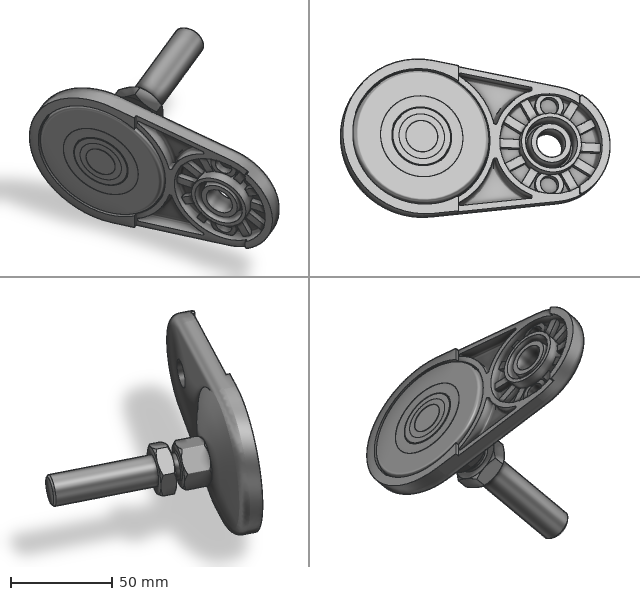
import cadquery as cq
import math


FOOT_RADIUS = 39.5
LUG_RADIUS = 29.5
LUG_X = 65.0
PLATE_TOP = 11.4
PLATE_FILLET = 5.0

DOME_SPHERE_RADIUS = 93.0
DOME_TOP = 17.7
DOME_BASE = PLATE_TOP - PLATE_FILLET
DOME_TOP_RADIUS = 12.2
DOME_FILLET = 5.0
RIM_MARGIN = 0.1

RAISED_UNDERSIDE = 1.9
STEP_FOOT_X = 18.4
STEP_LUG_X = 79.4
STEP_LUG_BEVEL_Z = 24.6
STEP_BEVEL_X = 87.2

WEB_FLOOR = 8.0
POCKET_FOOT_RADIUS = 37.6
POCKET_LUG_RADIUS = 28.4
POCKET_EDGE_WALL = 3.0
POCKET_CORNER = 0.9
FLOOR_FILLET = 1.8

RECESS_RADIUS = 25.5
HUB_RADIUS = 15.0
HUB_BOTTOM = -0.25
HUB_HOLE_RADIUS = 7.2
TUBE_BOTTOM = 0.5
TUBE_TIP_RADIUS = 9.9
TUBE_ROOT_RADIUS = 11.0
GROOVE_ROOT_RADIUS = 12.0
GROOVE_MOUTH_RADIUS = 13.0
RIB_WIDTH = 4.4
RIB_BOTTOM = 5.0
RIB_ANGLES = [side + step for side in (0, 180) for step in (-60, -30, 0, 30, 60)]
SCREW_BOSS_RADIUS = 7.0
SCREW_BOSS_BOTTOM = 5.0
SCREW_HOLE_RADIUS = 4.5
SCREW_HOLE_END = 9.0
SCREW_OFFSET = 20.0
SINK = 1.0

CAVITY_RADIUS = 34.6
CAVITY_ROOF = 5.0
PAD_RADIUS = 34.0
PAD_BOTTOM = -0.25
PAD_EDGE_FILLET = 2.0
WASHER_RADIUS = 20.65
WASHER_HOLE_RADIUS = 15.0
WASHER_BOTTOM = -0.1
RETAINER_RADIUS = 14.5
COLLAR_RADIUS = 11.4

STUD_RADIUS = 8.0
STUD_BOTTOM = -0.5
STUD_TOP = 97.9
STUD_TIP_CHAMFER = 1.0
NECK_RADIUS = 6.8
NECK_LOWER_FLARE = 0.7
NECK_UPPER_FLARE = 0.5
STUD_HEX_FLATS = 22.0
STUD_HEX_TOP = 31.9
STUD_HEX_TURN = 40.6
STUD_HEX_EDGE = 0.4
STUD_HEX_BEVEL = 40.0
NUT_FLATS = 24.0
NUT_BOTTOM = 36.2
NUT_TOP = 44.3
NUT_TURN = 90.0
NUT_BEVEL = 32.0

THROUGH = 40.0

TANGENT_SINE = (FOOT_RADIUS - LUG_RADIUS) / LUG_X
TANGENT_COSINE = math.sqrt(1 - TANGENT_SINE**2)


def level(y):
    """Workplane parallel to the underside; its local axes are X and Z."""
    return cq.Workplane("XZ", origin=(0, y, 0))


def disc(radius, bottom, top, x=0, z=0):
    return level(bottom).center(x, z).circle(radius).extrude(bottom - top)


def ring(outer, inner, bottom, top):
    return level(bottom).circle(outer).circle(inner).extrude(bottom - top)


def cone(bottom_radius, bottom, top_radius, top, x=0):
    profile = [(0, bottom), (bottom_radius, bottom), (top_radius, top), (0, top)]
    return cq.Workplane("XY").polyline(profile).close().revolve(360, (0, 0), (0, 1)).translate((x, 0, 0))


def hexagon(flats, bottom, top, turn, bevel_angle, edge_fillet=0):
    """Hexagonal bar along Y with both ends turned to a cone."""
    corner_radius = flats / math.sqrt(3)
    bar = level(bottom).transformed(rotate=(0, 0, turn)).polygon(6, 2 * corner_radius).extrude(bottom - top)
    if edge_fillet:
        bar = bar.edges("|Y").fillet(edge_fillet)
    face_radius = flats / 2
    drop = (corner_radius - face_radius) * math.tan(math.radians(bevel_angle))
    blank = (
        cq.Workplane("XY")
        .moveTo(0, bottom)
        .lineTo(face_radius, bottom)
        .lineTo(corner_radius, bottom + drop)
        .lineTo(corner_radius, top - drop)
        .lineTo(face_radius, top)
        .lineTo(0, top)
        .close()
        .revolve(360, (0, 0), (0, 1))
    )
    return bar.intersect(blank)


def plate():
    """Teardrop plate with a rounded top edge."""
    foot_x, foot_z = FOOT_RADIUS * TANGENT_SINE, FOOT_RADIUS * TANGENT_COSINE
    lug_x, lug_z = LUG_X + LUG_RADIUS * TANGENT_SINE, LUG_RADIUS * TANGENT_COSINE
    body = (
        level(0)
        .moveTo(foot_x, foot_z)
        .lineTo(lug_x, lug_z)
        .threePointArc((LUG_X + LUG_RADIUS, 0), (lug_x, -lug_z))
        .lineTo(foot_x, -foot_z)
        .threePointArc((-FOOT_RADIUS, 0), (foot_x, foot_z))
        .close()
        .extrude(-PLATE_TOP)
    )
    return body.faces(">Y").edges().fillet(PLATE_FILLET)


def dome():
    """Spherical cap on the large end, flat under the stud and rounded at the rim."""
    centre_y = DOME_TOP - math.sqrt(DOME_SPHERE_RADIUS**2 - DOME_TOP_RADIUS**2)
    middle_radius = (DOME_TOP_RADIUS + FOOT_RADIUS) / 2

    def sphere_y(radius):
        return centre_y + math.sqrt(DOME_SPHERE_RADIUS**2 - radius**2)

    body = (
        cq.Workplane("XY")
        .moveTo(0, DOME_BASE)
        .lineTo(FOOT_RADIUS, DOME_BASE)
        .lineTo(FOOT_RADIUS, sphere_y(FOOT_RADIUS))
        .threePointArc((middle_radius, sphere_y(middle_radius)), (DOME_TOP_RADIUS, DOME_TOP))
        .lineTo(0, DOME_TOP)
        .close()
        .revolve(360, (0, 0), (0, 1))
    )
    rim_y = sphere_y(FOOT_RADIUS)
    rim = cq.selectors.BoxSelector(
        (-THROUGH, rim_y - RIM_MARGIN, -THROUGH),
        (THROUGH, rim_y + RIM_MARGIN, THROUGH),
    )
    return body.edges(rim).fillet(DOME_FILLET)


def underside_relief():
    """Shallow cut that raises the underside between the two steps."""
    return (
        level(0)
        .moveTo(STEP_FOOT_X, -THROUGH)
        .lineTo(STEP_BEVEL_X, -THROUGH)
        .lineTo(STEP_BEVEL_X, -LUG_RADIUS)
        .lineTo(STEP_LUG_X, -STEP_LUG_BEVEL_Z)
        .lineTo(STEP_LUG_X, STEP_LUG_BEVEL_Z)
        .lineTo(STEP_BEVEL_X, LUG_RADIUS)
        .lineTo(STEP_BEVEL_X, THROUGH)
        .lineTo(STEP_FOOT_X, THROUGH)
        .close()
        .extrude(-RAISED_UNDERSIDE)
    )


def arc_meets_edge(radius, centre_x, side):
    """Point where a pocket arc meets the pocket side that runs along the outer edge."""
    distance = FOOT_RADIUS - POCKET_EDGE_WALL - centre_x * TANGENT_SINE
    along = side * math.sqrt(radius**2 - distance**2)
    x = centre_x + distance * TANGENT_SINE + along * TANGENT_COSINE
    z = distance * TANGENT_COSINE - along * TANGENT_SINE
    return x, z


def on_circle(radius, centre_x, start, end):
    """Point on a circle halfway round between two of its points."""
    angles = [math.atan2(z, x - centre_x) for x, z in (start, end)]
    middle = sum(angles) / 2
    return centre_x + radius * math.cos(middle), radius * math.sin(middle)


def triangular_pocket():
    """Three-sided pocket between the round ends, with small corners and a rounded floor edge."""
    foot_corner = arc_meets_edge(POCKET_FOOT_RADIUS, 0, 1)
    lug_corner = arc_meets_edge(POCKET_LUG_RADIUS, LUG_X, -1)
    tip_x = (POCKET_FOOT_RADIUS**2 - POCKET_LUG_RADIUS**2 + LUG_X**2) / (2 * LUG_X)
    tip = (tip_x, math.sqrt(POCKET_FOOT_RADIUS**2 - tip_x**2))
    prism = (
        level(0)
        .moveTo(*foot_corner)
        .lineTo(*lug_corner)
        .threePointArc(on_circle(POCKET_LUG_RADIUS, LUG_X, lug_corner, tip), tip)
        .threePointArc(on_circle(POCKET_FOOT_RADIUS, 0, tip, foot_corner), foot_corner)
        .close()
        .extrude(-WEB_FLOOR)
    )
    rounded_floor = prism.faces(">Y").edges().fillet(FLOOR_FILLET)
    return rounded_floor.intersect(prism.edges("|Y").fillet(POCKET_CORNER))


def lug_inside():
    """Hub, ribs and screw bosses that stand in the lug recess."""
    inside_top = WEB_FLOOR + SINK
    reach = RECESS_RADIUS + SINK
    rib_inner = GROOVE_MOUTH_RADIUS + SINK
    hub = disc(HUB_RADIUS, HUB_BOTTOM, inside_top, LUG_X)
    groove = cone(GROOVE_MOUTH_RADIUS, HUB_BOTTOM, GROOVE_ROOT_RADIUS, WEB_FLOOR, LUG_X)
    tube = cone(TUBE_TIP_RADIUS, TUBE_BOTTOM, TUBE_ROOT_RADIUS, WEB_FLOOR, LUG_X)
    inside = hub.cut(groove.cut(tube))
    for angle in RIB_ANGLES:
        rib = (
            level(RIB_BOTTOM)
            .center(LUG_X, 0)
            .transformed(rotate=(0, 0, angle))
            .center((rib_inner + reach) / 2, 0)
            .rect(reach - rib_inner, RIB_WIDTH)
            .extrude(RIB_BOTTOM - inside_top)
        )
        inside = inside.union(rib)
    groove_space = disc(rib_inner, HUB_BOTTOM, WEB_FLOOR, LUG_X)
    for side in (1, -1):
        boss = disc(SCREW_BOSS_RADIUS, SCREW_BOSS_BOTTOM, inside_top, LUG_X, side * SCREW_OFFSET)
        inside = inside.union(boss.cut(groove_space))
    return inside.intersect(disc(reach, HUB_BOTTOM, inside_top, LUG_X))


def housing_body():
    body = plate().union(dome())
    body = body.cut(underside_relief())
    pocket = triangular_pocket()
    body = body.cut(pocket).cut(pocket.mirror("XY"))
    recess = disc(RECESS_RADIUS, 0, WEB_FLOOR, LUG_X).faces(">Y").edges().fillet(FLOOR_FILLET)
    body = body.cut(recess).union(lug_inside())
    for side in (1, -1):
        body = body.cut(
            disc(SCREW_HOLE_RADIUS, SCREW_BOSS_BOTTOM, SCREW_HOLE_END, LUG_X, side * SCREW_OFFSET)
        )
    body = body.cut(disc(HUB_HOLE_RADIUS, HUB_BOTTOM, PLATE_TOP, LUG_X))
    body = body.cut(disc(CAVITY_RADIUS, 0, CAVITY_ROOF))
    return body.cut(disc(STUD_RADIUS, 0, DOME_TOP))


def pad_body():
    pad = disc(PAD_RADIUS, PAD_BOTTOM, CAVITY_ROOF).faces("<Y").edges().fillet(PAD_EDGE_FILLET)
    return pad.cut(disc(WASHER_RADIUS, PAD_BOTTOM, CAVITY_ROOF))


def washer_body():
    return ring(WASHER_RADIUS, WASHER_HOLE_RADIUS, WASHER_BOTTOM, CAVITY_ROOF)


def retainer_body():
    return ring(RETAINER_RADIUS, COLLAR_RADIUS, PAD_BOTTOM, CAVITY_ROOF)


def collar_body():
    return ring(COLLAR_RADIUS, STUD_RADIUS, PAD_BOTTOM, CAVITY_ROOF)


def stud_body():
    """Stud running through the foot, with a spanner hexagon and a relieved neck."""
    thread_start = NUT_BOTTOM - NECK_UPPER_FLARE + STUD_RADIUS - NECK_RADIUS
    shank = (
        cq.Workplane("XY")
        .moveTo(0, STUD_BOTTOM)
        .lineTo(STUD_RADIUS, STUD_BOTTOM)
        .lineTo(STUD_RADIUS, DOME_TOP)
        .lineTo(NECK_RADIUS + NECK_LOWER_FLARE, STUD_HEX_TOP)
        .lineTo(NECK_RADIUS, STUD_HEX_TOP + NECK_LOWER_FLARE)
        .lineTo(NECK_RADIUS, NUT_BOTTOM - NECK_UPPER_FLARE)
        .lineTo(STUD_RADIUS, thread_start)
        .lineTo(STUD_RADIUS, STUD_TOP - STUD_TIP_CHAMFER)
        .lineTo(STUD_RADIUS - STUD_TIP_CHAMFER, STUD_TOP)
        .lineTo(0, STUD_TOP)
        .close()
        .revolve(360, (0, 0), (0, 1))
    )
    spanner_hex = hexagon(
        STUD_HEX_FLATS, DOME_TOP, STUD_HEX_TOP, STUD_HEX_TURN, STUD_HEX_BEVEL, STUD_HEX_EDGE
    )
    return shank.union(spanner_hex)


def nut_body():
    nut = hexagon(NUT_FLATS, NUT_BOTTOM, NUT_TOP, NUT_TURN, NUT_BEVEL)
    return nut.cut(disc(STUD_RADIUS, NUT_BOTTOM, NUT_TOP))


housing = housing_body()
pad = pad_body()
washer = washer_body()
retainer = retainer_body()
collar = collar_body()
stud = stud_body()
nut = nut_body()

result = cq.Compound.makeCompound(
    [body.val() for body in (housing, pad, washer, retainer, collar, stud, nut)]
)